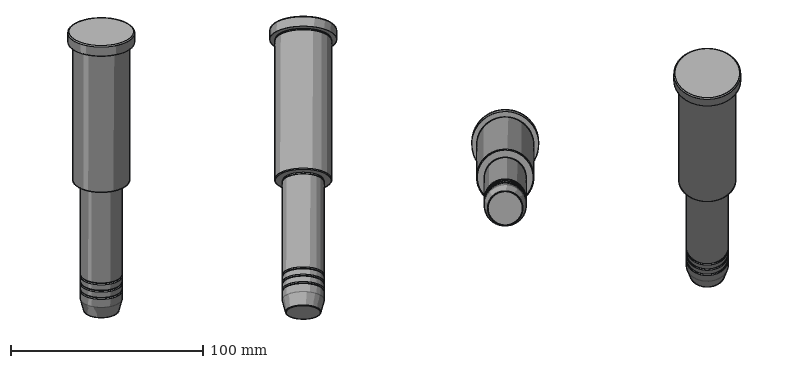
import cadquery as cq

total_length = 161.0
head_diameter = 35.0
head_height = 6.0
head_chamfer = 0.6

body_diameter = 30.0
body_bottom = 75.0
body_chamfer = 0.5

shank_diameter = 22.0

relief_width = 1.0
relief_depth = 0.3
head_relief_runout = 0.3

groove_width = 1.1
groove_depth = 0.5
groove_count = 3
lowest_groove_center = 12.2
groove_pitch = 4.2

taper_height = 7.1
tip_diameter = 18.4
tip_chamfer = 0.3

head_bottom = total_length - head_height


def cylinder(diameter, bottom, top):
    """Solid cylinder on the Z axis between two heights."""
    return cq.Workplane("XY").workplane(offset=bottom).circle(diameter / 2).extrude(top - bottom)


def relief_ring(outer_diameter, shoulder_height, runout):
    """Ring to remove below a shoulder; its lower wall slopes out over the run-out height."""
    surface = outer_diameter / 2
    floor = surface - relief_depth
    bottom = shoulder_height - relief_width
    return (
        cq.Workplane("XZ")
        .moveTo(surface, shoulder_height)
        .lineTo(floor, shoulder_height)
        .lineTo(floor, bottom + runout)
        .lineTo(surface, bottom)
        .close()
        .revolve(360, (0, 0), (0, 1))
    )


def groove_ring(center_height):
    """Triangular ring that cuts a V-groove into the shank."""
    surface = shank_diameter / 2
    return (
        cq.Workplane("XZ")
        .moveTo(surface, center_height + groove_width / 2)
        .lineTo(surface - groove_depth, center_height)
        .lineTo(surface, center_height - groove_width / 2)
        .close()
        .revolve(360, (0, 0), (0, 1))
    )


head = cylinder(head_diameter, head_bottom, total_length).faces(">Z").chamfer(head_chamfer)
body = cylinder(body_diameter, body_bottom, head_bottom).faces("<Z").chamfer(body_chamfer)
shank = cylinder(shank_diameter, taper_height, body_bottom)

tip = (
    cq.Workplane("XY")
    .circle(tip_diameter / 2)
    .workplane(offset=taper_height)
    .circle(shank_diameter / 2)
    .loft(ruled=True)
    .faces("<Z")
    .chamfer(tip_chamfer)
)

result = head.union(body).union(shank).union(tip)

result = result.cut(relief_ring(body_diameter, head_bottom, head_relief_runout))
result = result.cut(relief_ring(shank_diameter, body_bottom, 0))

for index in range(groove_count):
    result = result.cut(groove_ring(lowest_groove_center + index * groove_pitch))